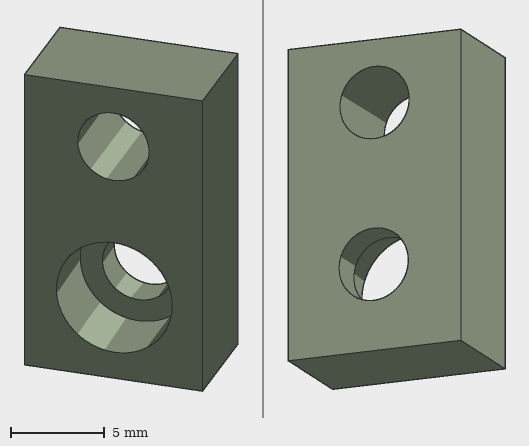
import cadquery as cq

width = 10.0
thickness = 6.0
height = 17.25

hole_diameter = 4.0
upper_hole_from_top = 3.5
lower_hole_height = 4.8
lower_hole_offset = 0.05
counterbore_diameter = 6.5
counterbore_depth = 4.0


def bore(x, z, diameter, depth):
    """Cylinder running from the -Y face into the block."""
    front_face = cq.Workplane("XZ", origin=(x, -thickness / 2, z))
    return front_face.circle(diameter / 2).extrude(-depth)


block = cq.Workplane("XY").box(width, thickness, height, centered=(True, True, False))
upper_hole = bore(0, height - upper_hole_from_top, hole_diameter, thickness)
lower_hole = bore(lower_hole_offset, lower_hole_height, hole_diameter, thickness)
counterbore = bore(lower_hole_offset, lower_hole_height, counterbore_diameter, counterbore_depth)

result = block.cut(upper_hole).cut(lower_hole).cut(counterbore)